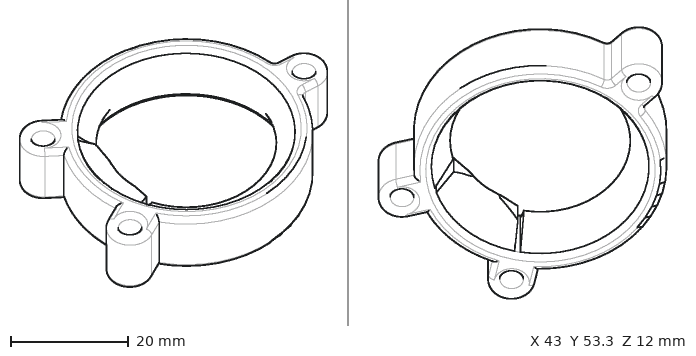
import cadquery as cq
import math

height = 12.0
ring_radius = 21.5
bore_radius = 18.5
edge_round = 1.0

ear_radius = 4.0
ear_hole_radius = 2.0
rim_radius = (ear_radius + ear_hole_radius) / 2
rear_ear_y = 24.5
front_ear_x = 12.75
front_ear_y = -20.8
rear_ear_blend = 1.0
rear_ear_angle = 90.0
front_ear_angle = math.degrees(math.atan2(-front_ear_y, front_ear_x))
front_ear_distance = math.hypot(front_ear_x, front_ear_y)

lip_bottom = edge_round
lip_top = height - edge_round
main_nose_radius = 15.3
main_nose_z = 8.4
small_nose_radius = 13.9
small_nose_z = 8.9
nose_shoulder = 0.6
undercut_inset = 0.25
undercut_drop = 0.9
lip_hollow = 0.7
split_angle = 57.4
lip_gap = 1.0
small_lip_front_y = -13.55


def ear_arm(distance, angle):
    """Square-edged arm from inside the ring's wall out to the centre of an ear's hole."""
    root = (ring_radius + bore_radius) / 2
    arm = (
        cq.Workplane("XY")
        .center((root + distance) / 2, 0)
        .rect(distance - root, 2 * ear_radius)
        .extrude(height)
    )
    return arm.rotate((0, 0, 0), (0, 0, 1), angle)


def eyelet(distance, angle):
    """Tube around an ear's hole, fully rounded at both ends."""
    tube = (
        cq.Workplane("XZ")
        .moveTo(-ear_radius, edge_round)
        .threePointArc((-rim_radius, 0), (-ear_hole_radius, edge_round))
        .lineTo(-ear_hole_radius, height - edge_round)
        .threePointArc((-rim_radius, height), (-ear_radius, height - edge_round))
        .close()
        .revolve(360, (0, 0, 0), (0, 1, 0))
    )
    return tube.translate((distance, 0, 0)).rotate((0, 0, 0), (0, 0, 1), angle)


def eyelet_seat(distance, angle):
    """Cylinder cleared from the arm's end to make room for the eyelet's hole."""
    seat = cq.Workplane("XY").center(distance, 0).circle(rim_radius).extrude(height)
    return seat.rotate((0, 0, 0), (0, 0, 1), angle)


def bore_cutter():
    """Bore that flares at both ends, so that the ring's inner rims come out round."""
    flare_radius = bore_radius + edge_round
    bend = edge_round * (1 - math.sqrt(0.5))
    return (
        cq.Workplane("XZ")
        .lineTo(flare_radius, 0)
        .threePointArc((bore_radius + bend, bend), (bore_radius, edge_round))
        .lineTo(bore_radius, height - edge_round)
        .threePointArc((bore_radius + bend, height - bend), (flare_radius, height))
        .lineTo(0, height)
        .close()
        .revolve(360, (0, 0, 0), (0, 1, 0))
    )


def make_housing():
    """Ring with three screw ears, rounded along its top and bottom edges."""
    rear_ear = (rear_ear_y, rear_ear_angle)
    front_ears = [
        (front_ear_distance, -front_ear_angle),
        (front_ear_distance, front_ear_angle - 180),
    ]
    ears = [rear_ear, *front_ears]
    body = cq.Workplane("XY").circle(ring_radius).extrude(height)
    body = body.union(ear_arm(*rear_ear))
    corner_y = math.sqrt(ring_radius**2 - ear_radius**2)
    for side in (-1, 1):
        corner = cq.selectors.NearestToPointSelector((side * ear_radius, corner_y, height / 2))
        body = body.edges("|Z").edges(corner).fillet(rear_ear_blend)
    for ear in front_ears:
        body = body.union(ear_arm(*ear))
    arm_ends = [
        cq.selectors.NearestToPointSelector(
            (
                distance * math.cos(math.radians(angle)),
                distance * math.sin(math.radians(angle)),
                z,
            )
        )
        for distance, angle in ears
        for z in (0, height)
    ]
    square_edges = arm_ends[0]
    for arm_end in arm_ends[1:]:
        square_edges = square_edges + arm_end
    all_edges = cq.selectors.StringSyntaxSelector("<Z or >Z")
    body = body.edges(all_edges - square_edges).fillet(edge_round)
    for ear in ears:
        body = body.cut(eyelet_seat(*ear))
    for ear in ears:
        body = body.union(eyelet(*ear))
    return body.cut(bore_cutter())


def lip_sector(nose_radius, nose_z, start_angle, sweep):
    """Lip with a hollow upper face, a rounded nose and a sloping underside, swept around Z."""
    shoulder_radius = nose_radius + nose_shoulder
    shoulder_z = nose_z + nose_shoulder
    upper_slope = (shoulder_radius - bore_radius, shoulder_z - lip_top - lip_hollow)
    underside = (nose_radius + undercut_inset, nose_z - undercut_drop)
    lower_slope = (bore_radius - underside[0], lip_bottom - underside[1])
    profile = (
        cq.Workplane("XZ")
        .moveTo(bore_radius, lip_bottom)
        .lineTo(bore_radius, lip_top)
        .spline(
            [
                (shoulder_radius, shoulder_z),
                (nose_radius, nose_z),
                underside,
                (bore_radius, lip_bottom),
            ],
            tangents=[upper_slope, None, (0, -1), lower_slope, lower_slope],
            includeCurrent=True,
        )
        .close()
    )
    sector = profile.revolve(sweep, (0, 0, 0), (0, 1, 0))
    return sector.rotate((0, 0, 0), (0, 0, 1), start_angle)


def make_main_lip():
    """Lip around the sides and rear of the bore."""
    return lip_sector(main_nose_radius, main_nose_z, -split_angle, 180 + 2 * split_angle)


def make_small_lip():
    """Front lip, held clear of the main lip's ends and trimmed flat behind its opening."""
    sweep = 180 - 2 * split_angle
    lip = lip_sector(small_nose_radius, small_nose_z, split_angle - 180, sweep)
    apex_y = -lip_gap / math.cos(math.radians(split_angle))
    front_y = -ring_radius
    half_front = (apex_y - front_y) / math.tan(math.radians(split_angle))
    half_back = (apex_y - small_lip_front_y) / math.tan(math.radians(split_angle))
    outline = (
        cq.Workplane("XY")
        .moveTo(-half_back, small_lip_front_y)
        .lineTo(half_back, small_lip_front_y)
        .lineTo(half_front, front_y)
        .lineTo(-half_front, front_y)
        .close()
        .extrude(height)
    )
    return lip.intersect(outline)


housing = make_housing()
main_lip = make_main_lip()
small_lip = make_small_lip()

result = cq.Compound.makeCompound([*housing.vals(), *main_lip.vals(), *small_lip.vals()])